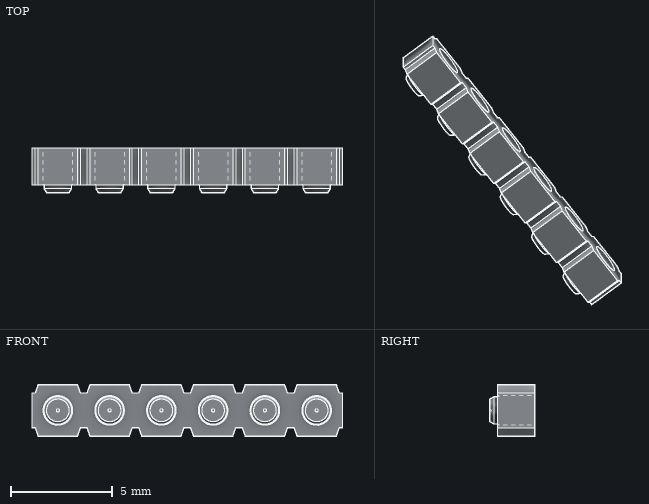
import cadquery as cq
import math

cell_count = 6
strip_length = 15.24
pitch = strip_length / cell_count
strip_height = pitch
housing_depth = 1.83

notch_depth = 0.41
notch_floor_width = 0.32
notch_mouth_width = 0.61

pin_diameter = 1.35
pin_protrusion = 0.38
tip_taper_length = 0.21
tip_taper_angle = 30.0
dimple_diameter = 0.15
dimple_depth = dimple_diameter / 2

base_diameter = 1.45
base_taper_length = 0.26

pin_radius = pin_diameter / 2
base_radius = base_diameter / 2
tip_radius = pin_radius - tip_taper_length * math.tan(math.radians(tip_taper_angle))

cell_boundaries = [-strip_length / 2 + i * pitch for i in range(cell_count + 1)]
cell_centers = [x + pitch / 2 for x in cell_boundaries[:-1]]


def make_notch(x, side):
    """Full-depth notch cutter at x; side is +1 for the top face and -1 for the bottom face."""
    mouth_z = side * strip_height / 2
    floor_z = mouth_z - side * notch_depth
    outline = [
        (x - notch_mouth_width / 2, mouth_z),
        (x - notch_floor_width / 2, floor_z),
        (x + notch_floor_width / 2, floor_z),
        (x + notch_mouth_width / 2, mouth_z),
    ]
    return cq.Workplane("XZ").polyline(outline).close().extrude(-housing_depth)


def make_housing():
    """Insulating strip with its front face on Y = 0, notched between cells and bored for the pins."""
    housing = cq.Workplane("XZ").rect(strip_length, strip_height).extrude(-housing_depth)
    for x in cell_boundaries:
        for side in (1, -1):
            housing = housing.cut(make_notch(x, side))
    for x in cell_centers:
        bore = cq.Workplane("XZ").center(x, 0).circle(base_radius).extrude(-housing_depth)
        housing = housing.cut(bore)
    return housing


def make_pin(x):
    """Round contact pin with a tapered base and tip and a conical dimple, its axis along Y."""
    tip_y = -pin_protrusion
    half_profile = [
        (housing_depth, 0),
        (housing_depth, base_radius),
        (base_taper_length, base_radius),
        (0, pin_radius),
        (tip_y + tip_taper_length, pin_radius),
        (tip_y, tip_radius),
        (tip_y, dimple_diameter / 2),
        (tip_y + dimple_depth, 0),
    ]
    pin = cq.Workplane("YZ").polyline(half_profile).close().revolve(360, (0, 0, 0), (1, 0, 0))
    return pin.translate((x, 0, 0))


housing = make_housing()
pins = [make_pin(x) for x in cell_centers]

result = cq.Compound.makeCompound([housing.val(), *[pin.val() for pin in pins]])